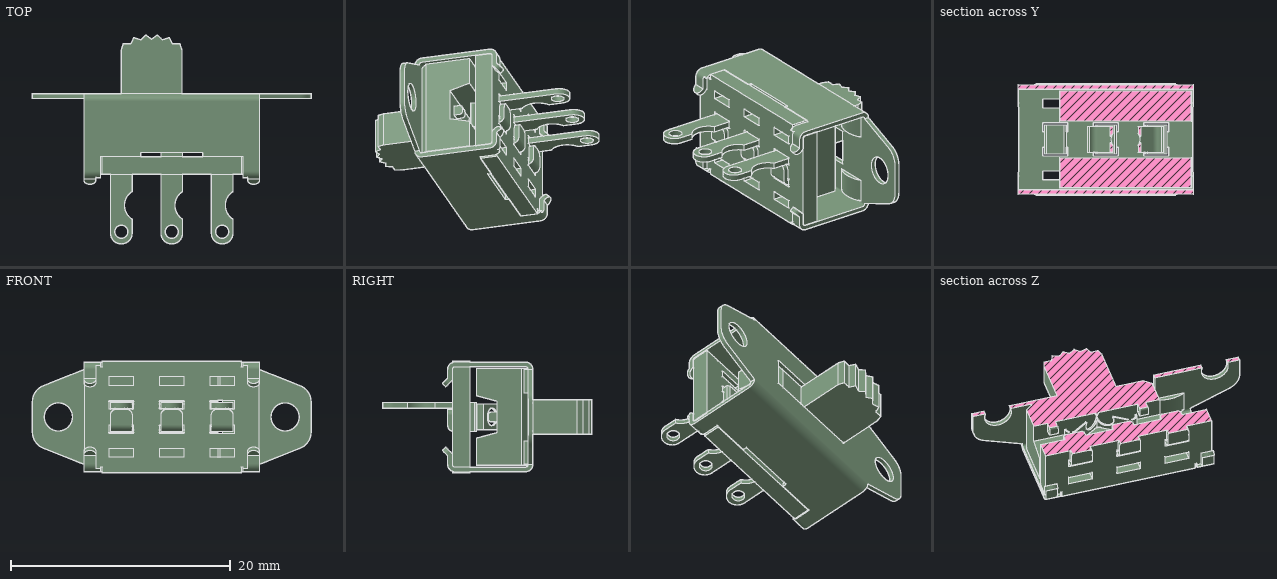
import cadquery as cq
import math


sheet = 0.44
frame_length = 16.0
frame_height = 10.0
frame_depth = 7.78
bend_radius = 0.68
inner_bend_radius = bend_radius - sheet
frame_front = -frame_depth
frame_inner_half = frame_height / 2 - sheet

ear_span = 25.4
ear_root_height = 8.64
ear_tip_height = 4.9
ear_corner_radius = 1.6
mounting_hole_diameter = 2.54
mounting_hole_pitch = 20.64

window_length = 9.2
window_height = 3.3

board_front = frame_front + sheet
board_back = -5.73
board_length = 15.84
board_tongue_length = 12.68
board_height = 10.16
side_notch_length = 12.96
side_slot_length = 5.6
side_slot_back = -5.36

tab_width = 1.1
tab_bend_length = 0.8
tab_tip_length = 0.85
tab_relief_z = 4.7

slider_center = -1.8
slider_length = 12.0
slider_height = 8.82
slider_back = -0.42
slider_front = -5.14
slider_chamfer_depth = 0.6
slider_chamfer_length = 0.7
groove_floor = -3.29
groove_floor_height = 2.84
groove_mouth_height = 3.84
handle_center = -1.835
handle_height = 3.16
handle_half_length = 2.77
handle_shoulder = 4.0
handle_teeth = [(2.58, 4.57), (1.89, 4.55), (1.63, 5.12), (0.98, 4.92), (0.52, 5.36)]
handle_middle_valley = 4.97

post_width = 0.9
post_length = 0.8
post_depth = 0.78
post_corner_radius = 0.25
post_end_inset = 1.3

spring_width = 2.36
spring_thickness = 0.16
spring_half_span = 2.8
spring_curl_radius = 0.64
spring_bottom = -5.12
spring_hole_diameter = 1.6
spring_hole_y = -3.7

ridge_start = 4.4
ridge_length = 3.0
ridge_height = 0.4
ridge_inner_z = 2.2
ridge_outer_z = 4.3

terminal_pitch = 4.59
terminal_count = 3
terminal_width = 2.0
terminal_thickness = 0.54
staple_height = 2.66
staple_back = -5.14
staple_bevel = 0.2
blade_tip = -13.68
blade_hole_diameter = 1.17
blade_hole_y = -12.56
scallop_start = -8.9
scallop_end = -11.42
scallop_depth = 0.7
clinch_thickness = 0.44
clinch_bend_radius = 0.58
clinch_tip_z = 0.69
clinch_corner_radius = 0.54
slot_length = 2.26
slot_height = 0.78
inner_slot_z = 1.11
outer_slot_z = 3.27


def block(x_range, y_range, z_range):
    """Axis-aligned block between the given limits."""
    size = [high - low for low, high in (x_range, y_range, z_range)]
    corner = (x_range[0], y_range[0], z_range[0])
    return cq.Workplane("XY").box(*size, centered=False).translate(corner)


def centered_block(length, y_range, height):
    """Block centred on X = 0 and Z = 0."""
    return block((-length / 2, length / 2), y_range, (-height / 2, height / 2))


def mirrored_four(body):
    """Copies of a body in all four X/Z quadrants."""
    pair = body.union(body.mirror("YZ"))
    return pair.union(pair.mirror("XY"))


def terminal_positions():
    first = -terminal_pitch * (terminal_count - 1) / 2
    return [first + index * terminal_pitch for index in range(terminal_count)]


def make_ears():
    """Flat panel with tapered ears and mounting holes."""
    half_span = ear_span / 2
    half_body = frame_length / 2
    root = ear_root_height / 2
    tip = ear_tip_height / 2
    outline = [
        (half_span, -tip), (half_span, tip), (half_body, root),
        (-half_body, root), (-half_span, tip), (-half_span, -tip),
        (-half_body, -root), (half_body, -root),
    ]
    ears = cq.Workplane("XZ").polyline(outline).close().extrude(sheet)
    ears = ears.edges("|Y").edges("<X or >X").fillet(ear_corner_radius)
    holes = (
        cq.Workplane("XZ")
        .pushPoints([(-mounting_hole_pitch / 2, 0), (mounting_hole_pitch / 2, 0)])
        .circle(mounting_hole_diameter / 2)
        .extrude(sheet)
    )
    return ears.cut(holes)


def make_tab():
    """Retaining tab in the +X, +Z quadrant: a straight lip and a round-ended 45 degree tip."""
    half_body = frame_length / 2
    x_range = (half_body - tab_width, half_body)
    lip_top = frame_height / 2 - bend_radius
    kink = lip_top - tab_bend_length
    diagonal = math.sqrt(0.5)
    bisector = sheet * math.tan(math.pi / 8)
    lip = (
        cq.Workplane("YZ", origin=(x_range[0], 0, 0))
        .polyline([
            (board_front, lip_top), (frame_front, lip_top),
            (frame_front, kink), (board_front, kink - bisector),
        ])
        .close()
        .extrude(tab_width)
    )
    tip_plane = cq.Plane(
        origin=(half_body - tab_width / 2, board_front, kink - bisector),
        xDir=(1, 0, 0),
        normal=(0, -diagonal, diagonal),
    )
    radius = tab_width / 2
    straight = tab_tip_length - radius
    tip = (
        cq.Workplane(tip_plane)
        .moveTo(-radius, 0)
        .lineTo(-radius, -straight)
        .threePointArc((0, -tab_tip_length), (radius, -straight))
        .lineTo(radius, 0)
        .close()
        .extrude(sheet)
    )
    return lip.union(tip)


def make_frame():
    """Bent sheet channel with ears, handle window, side notches, tabs and detent ridges."""
    half_body = frame_length / 2
    half_height = frame_height / 2
    lip_end = half_height - bend_radius
    frame = centered_block(frame_length, (frame_front, 0), frame_height)
    frame = frame.edges("|X").fillet(bend_radius)
    hollow = centered_block(frame_length, (board_front, -sheet), 2 * frame_inner_half)
    frame = frame.cut(hollow.edges("|X").fillet(inner_bend_radius))
    frame = frame.cut(centered_block(frame_length, (frame_front, board_front), 2 * lip_end))
    narrow = 2 * (half_body - tab_width)
    frame = frame.cut(centered_block(narrow, (frame_front, board_front), 2 * tab_relief_z))
    frame = frame.cut(centered_block(side_notch_length, (frame_front, board_back), frame_height))
    frame = frame.cut(centered_block(side_slot_length, (board_back, side_slot_back), frame_height))
    frame = frame.union(make_ears())
    frame = frame.cut(centered_block(window_length, (-sheet, 0), window_height))
    return frame.union(mirrored_four(make_tab())).union(make_ridges())


def make_ridges():
    """Rounded ridges on the inside of the panel, one above and one below the window."""
    ridge = (
        cq.Workplane("XY", origin=(0, 0, ridge_inner_z))
        .moveTo(ridge_start, -sheet)
        .threePointArc(
            (ridge_start + ridge_length / 2, -sheet - ridge_height),
            (ridge_start + ridge_length, -sheet),
        )
        .close()
        .extrude(ridge_outer_z - ridge_inner_z)
    )
    return ridge.union(ridge.mirror("XY"))


def make_board():
    """Insulating board with tongues in the frame notches and four rows of terminal slots."""
    y_range = (board_front, board_back)
    board = centered_block(board_length, y_range, 2 * frame_inner_half)
    board = board.union(centered_block(board_tongue_length, y_range, board_height))
    centers = [
        (x, z)
        for x in terminal_positions()
        for z in (-outer_slot_z, -inner_slot_z, inner_slot_z, outer_slot_z)
    ]
    slots = (
        cq.Workplane("XZ", origin=(0, board_back, 0))
        .pushPoints(centers)
        .rect(slot_length, slot_height)
        .extrude(board_back - board_front)
    )
    return board.cut(slots)


def make_slider():
    """Slider body with end chamfers and a flared groove along X."""
    half = slider_length / 2
    left = slider_center - half
    right = slider_center + half
    bevel_y = slider_back - slider_chamfer_depth
    body = (
        cq.Workplane("XY", origin=(0, 0, -slider_height / 2))
        .polyline([
            (left, slider_front), (left, bevel_y),
            (left + slider_chamfer_length, slider_back),
            (right - slider_chamfer_length, slider_back),
            (right, bevel_y), (right, slider_front),
        ])
        .close()
        .extrude(slider_height)
    )
    groove = (
        cq.Workplane("YZ", origin=(left, 0, 0))
        .polyline([
            (groove_floor, -groove_floor_height / 2), (groove_floor, groove_floor_height / 2),
            (slider_front, groove_mouth_height / 2), (slider_front, -groove_mouth_height / 2),
        ])
        .close()
        .extrude(slider_length)
    )
    body = body.cut(groove)
    post_tip = groove_floor - post_depth
    post = block((0, post_length), (post_tip, groove_floor), (-post_width / 2, post_width / 2))
    post = post.edges("|X and <Y").fillet(post_corner_radius)
    for x in (left + post_end_inset, right - post_end_inset - post_length):
        body = body.union(post.translate((x, 0, 0)))
    return body


def make_handle():
    """Finger grip with a serrated end."""
    right_side = [(handle_half_length, slider_back), (handle_half_length, handle_shoulder)]
    right_side += handle_teeth
    left_side = [(-x, y) for x, y in reversed(right_side)]
    outline = right_side + [(0, handle_middle_valley)] + left_side
    return (
        cq.Workplane("XY", origin=(handle_center, 0, -handle_height / 2))
        .polyline(outline)
        .close()
        .extrude(handle_height)
    )


def make_spring():
    """Inverted-V contact leaf with curled ends and a hole in each leg."""
    curl_y = spring_bottom + spring_curl_radius
    inner_radius = spring_curl_radius - spring_thickness
    rise = groove_floor - spring_bottom
    slope = math.atan2(rise, spring_half_span)
    curl_x = -spring_half_span

    def on_curl(radius, angle):
        return (curl_x + radius * math.cos(angle), curl_y + radius * math.sin(angle))

    tangent = slope - math.pi / 2
    middle = tangent / 2 - math.pi / 2
    outer_start = on_curl(spring_curl_radius, tangent)
    inner_start = on_curl(inner_radius, tangent)
    outer_apex = outer_start[1] - outer_start[0] * math.tan(slope)
    inner_apex = inner_start[1] - inner_start[0] * math.tan(slope)
    leg = (
        cq.Workplane("XY", origin=(0, 0, -spring_width / 2))
        .moveTo(0, outer_apex)
        .lineTo(*outer_start)
        .threePointArc(on_curl(spring_curl_radius, middle), on_curl(spring_curl_radius, -math.pi))
        .lineTo(*on_curl(inner_radius, -math.pi))
        .threePointArc(on_curl(inner_radius, middle), inner_start)
        .lineTo(0, inner_apex)
        .close()
        .extrude(spring_width)
    )
    hole_x = (spring_hole_y - inner_apex) / math.tan(slope)
    hole_plane = cq.Plane(
        origin=(hole_x, spring_hole_y, 0),
        xDir=(0, 0, 1),
        normal=(-math.sin(slope), math.cos(slope), 0),
    )
    hole = cq.Workplane(hole_plane).circle(spring_hole_diameter / 2)
    leg = leg.cut(hole.extrude(spring_thickness, both=True))
    return leg.union(leg.mirror("YZ")).translate((slider_center, 0, 0))


def make_terminal():
    """Staple through the board: a solder blade on one leg, the other leg clinched over the board."""
    half_width = terminal_width / 2
    half_staple = staple_height / 2
    x_range = (-half_width, half_width)
    blade_z = (half_staple - terminal_thickness, half_staple)

    bridge = block(x_range, (board_back, staple_back), (-half_staple, half_staple))
    bridge = bridge.edges("|Z and >Y").chamfer(staple_bevel)

    round_start = blade_tip + half_width
    scallop_middle = (scallop_start + scallop_end) / 2
    blade = (
        cq.Workplane("XY", origin=(0, 0, blade_z[0]))
        .moveTo(-half_width, board_back)
        .lineTo(-half_width, round_start)
        .threePointArc((0, blade_tip), (half_width, round_start))
        .lineTo(half_width, scallop_end)
        .threePointArc((half_width - scallop_depth, scallop_middle), (half_width, scallop_start))
        .lineTo(half_width, board_back)
        .close()
        .extrude(terminal_thickness)
    )
    hole = (
        cq.Workplane("XY", origin=(0, blade_hole_y, blade_z[0]))
        .circle(blade_hole_diameter / 2)
        .extrude(terminal_thickness)
    )
    blade = blade.cut(hole)

    clinch_front = board_front - clinch_thickness
    leg = block(x_range, (board_front, board_back), (-half_staple, -half_staple + clinch_thickness))
    clinch = block(x_range, (clinch_front, board_front), (-half_staple, clinch_tip_z))
    clinch = clinch.edges("|Y and >Z").fillet(clinch_corner_radius)
    leg = leg.union(clinch)
    leg = leg.edges("|X and <Y and <Z").fillet(clinch_bend_radius)
    return bridge.union(blade).union(leg)


result = make_frame().union(make_board())
result = result.union(make_slider()).union(make_handle()).union(make_spring())
for terminal_x in terminal_positions():
    result = result.union(make_terminal().translate((terminal_x, 0, 0)))